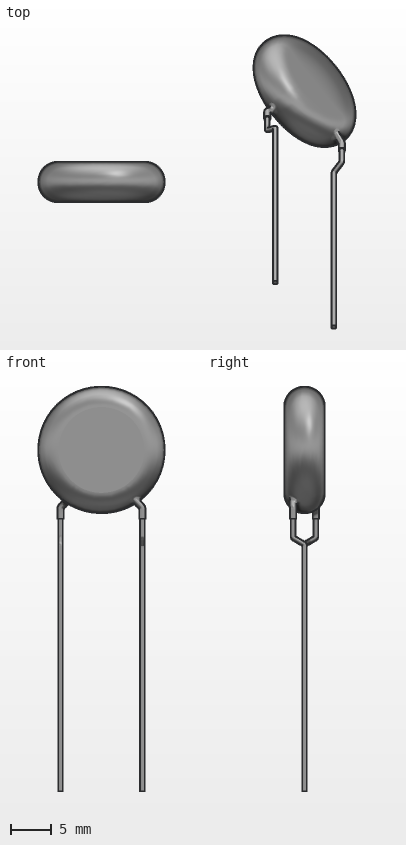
import cadquery as cq
import math


disc_diameter = 15.5
disc_thickness = 5.0
edge_radius = disc_thickness / 2
flat_radius = disc_diameter / 2 - edge_radius
disc_bottom_z = 4.0
disc_center_z = disc_bottom_z + disc_diameter / 2

lead_pitch = 10.0
lead_offset_y = 1.4
wire_diameter = 0.6
coating_diameter = 0.8
lead_length = 30.0
bare_wire_length = 2.1
coating_length = 1.2

kink_angle = math.radians(60)
kink_radius = 0.35
kink_straight = (lead_offset_y - 2 * kink_radius * (1 - math.cos(kink_angle))) / math.sin(kink_angle)
kink_height = 2 * kink_radius * math.sin(kink_angle) + kink_straight * math.cos(kink_angle)

elbow_angle = math.radians(45)
elbow_radius = 0.5
elbow_straight = 1.8
entry_fillet = 0.5

coating_z = kink_height + bare_wire_length
elbow_z = coating_z + coating_length


def bend_point(radius, angle):
    """Point reached after turning by `angle` from straight up, as (sideways, up)."""
    return radius * (1 - math.cos(angle)), radius * math.sin(angle)


def rod(diameter, y, z, length):
    """Upright round rod on the plane X = 0, standing at height `z`."""
    return cq.Workplane("XY", origin=(0, y, z)).circle(diameter / 2).extrude(length)


def disc():
    """Flat-faced disc with a full round edge, its axis along Y."""
    profile = (
        cq.Workplane("XY")
        .moveTo(0, -edge_radius)
        .lineTo(flat_radius, -edge_radius)
        .threePointArc((disc_diameter / 2, 0), (flat_radius, edge_radius))
        .lineTo(0, edge_radius)
        .close()
    )
    body = profile.revolve(360, (0, 0, 0), (0, 1, 0))
    return body.translate((0, 0, disc_center_z))


def kink():
    """Wire rising from the origin and stepping across to +Y."""
    middle = bend_point(kink_radius, kink_angle / 2)
    end = bend_point(kink_radius, kink_angle)

    def opposite(point):
        return lead_offset_y - point[0], kink_height - point[1]

    path = (
        cq.Workplane("YZ")
        .moveTo(0, 0)
        .threePointArc(middle, end)
        .lineTo(*opposite(end))
        .threePointArc(opposite(middle), (lead_offset_y, kink_height))
    )
    return cq.Workplane("XY").circle(wire_diameter / 2).sweep(path)


def elbow():
    """Coated wire turning from straight up towards +X and on into the disc."""
    end_x, end_z = bend_point(elbow_radius, elbow_angle)
    path = (
        cq.Workplane("XZ")
        .moveTo(0, 0)
        .threePointArc(bend_point(elbow_radius, elbow_angle / 2), (end_x, end_z))
        .lineTo(
            end_x + elbow_straight * math.sin(elbow_angle),
            end_z + elbow_straight * math.cos(elbow_angle),
        )
    )
    bent = cq.Workplane("XY").circle(coating_diameter / 2).sweep(path)
    return bent.translate((0, lead_offset_y, elbow_z))


def lead():
    """Lead on the +X side, entering the -Y half of the disc."""
    upright = (
        rod(wire_diameter, 0, -lead_length, lead_length)
        .union(kink())
        .union(rod(wire_diameter, lead_offset_y, kink_height, bare_wire_length))
        .union(rod(coating_diameter, lead_offset_y, coating_z, coating_length))
        .union(elbow())
    )
    turned = upright.rotate((0, 0, 0), (0, 0, 1), 180)
    return turned.translate((lead_pitch / 2, 0, 0))


body = disc()
front_lead = lead().cut(body)
back_lead = front_lead.rotate((0, 0, 0), (0, 0, 1), 180)
result = body.union(front_lead).union(back_lead)

result = result.edges("%BSPLINE").fillet(entry_fillet)